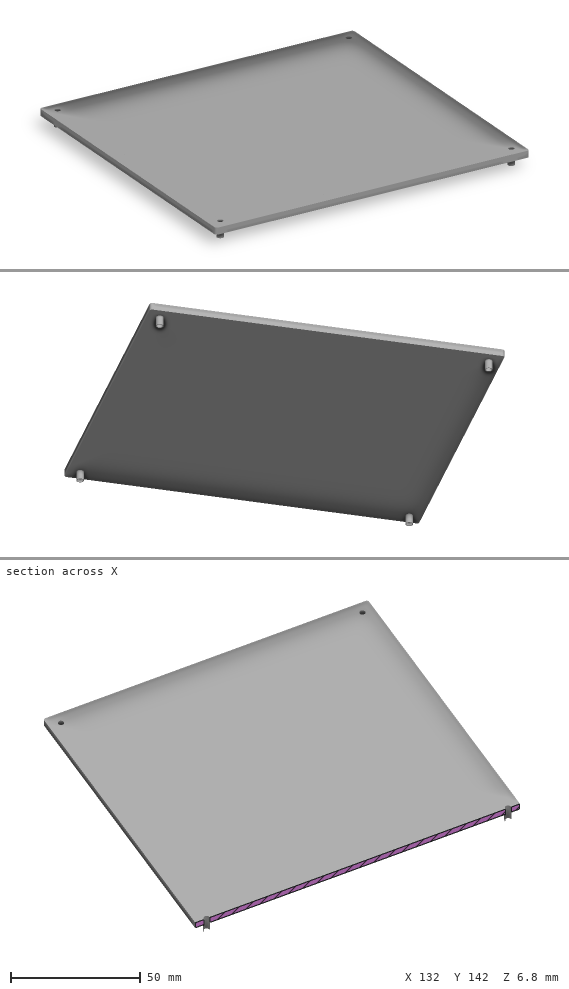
import cadquery as cq

width = 132.0
length = 142.0
total_height = 6.8
plate_thickness = 3.0
corner_radius = 1.0

hole_inset = 5.1
standoff_diameter = 3.0
hole_diameter = 2.4
standoff_height = total_height - plate_thickness

hole_spacing_x = width - 2 * hole_inset
hole_spacing_y = length - 2 * hole_inset


def corner_cylinders(diameter, bottom, height):
    """One vertical cylinder at each of the four corner positions."""
    return (
        cq.Workplane("XY")
        .workplane(offset=bottom)
        .rect(hole_spacing_x, hole_spacing_y, forConstruction=True)
        .vertices()
        .circle(diameter / 2)
        .extrude(height)
    )


plate = (
    cq.Workplane("XY")
    .rect(width, length)
    .extrude(plate_thickness)
    .edges("|Z")
    .fillet(corner_radius)
)
standoffs = corner_cylinders(standoff_diameter, -standoff_height, total_height)
holes = corner_cylinders(hole_diameter, -standoff_height, total_height)

result = plate.union(standoffs).cut(holes)